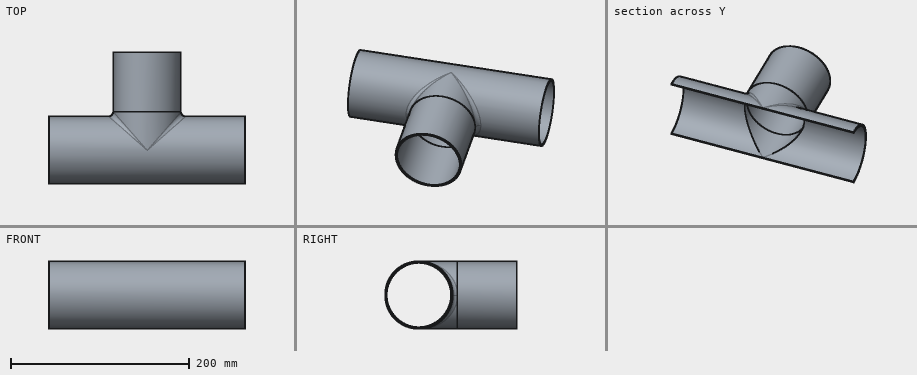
import cadquery as cq

outer_diameter = 76.1
bore_diameter = 72.1

run_length = 220
branch_reach = 110
crotch_radius = 5
joint_y = outer_diameter / 2 + crotch_radius


def run_cylinder(diameter):
    """Cylinder along X, centred on the origin."""
    return cq.Workplane("YZ").circle(diameter / 2).extrude(run_length / 2, both=True)


def branch_cylinder(diameter, start_y, end_y):
    """Cylinder along +Y between two distances from the run axis."""
    return (
        cq.Workplane("XZ", origin=(0, start_y, 0))
        .circle(diameter / 2)
        .extrude(start_y - end_y)
    )


def tee_cylinders(diameter):
    """Run cylinder joined with a branch cylinder of the same diameter."""
    return run_cylinder(diameter).union(branch_cylinder(diameter, 0, branch_reach))


def make_tee_body():
    """Run pipe with the short filleted stub that carries the branch pipe."""
    outside = tee_cylinders(outer_diameter).edges("%ELLIPSE").fillet(crotch_radius)
    beyond_joint = (
        cq.Workplane("XZ", origin=(0, joint_y, 0))
        .rect(run_length, 2 * outer_diameter)
        .extrude(joint_y - branch_reach)
    )
    return outside.cut(beyond_joint).cut(tee_cylinders(bore_diameter))


def make_branch_pipe():
    """Plain pipe that butts against the stub of the tee body."""
    outside = branch_cylinder(outer_diameter, joint_y, branch_reach)
    bore = branch_cylinder(bore_diameter, joint_y, branch_reach)
    return outside.cut(bore)


tee_body = make_tee_body()
branch_pipe = make_branch_pipe()

result = cq.Compound.makeCompound([tee_body.solids().val(), branch_pipe.solids().val()])